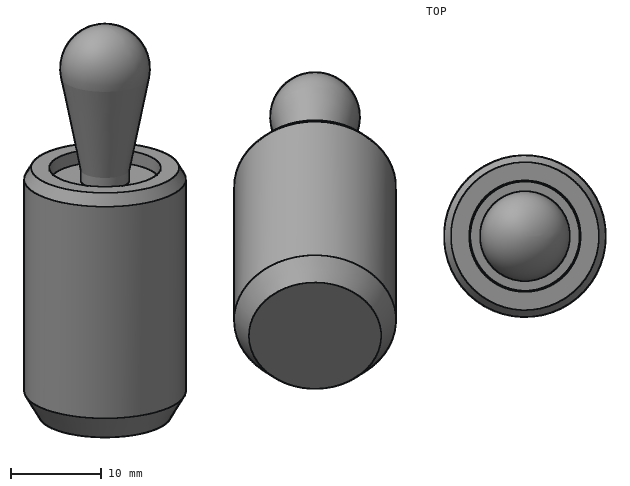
import cadquery as cq
import math

total_height = 45.9
housing_radius = 9.0
housing_height = 29.2
chamfer_slope = math.tan(math.radians(60))
top_chamfer_width = 0.8
bottom_chamfer_width = 1.65
bore_radius = 6.2

ball_radius = 5.0
neck_radius = 2.7
neck_height = 1.3
base_clearance = 0.15
base_radius = bore_radius - base_clearance
base_thickness = 3.0
base_recess = 1.5
ball_center_z = total_height - ball_radius
base_top_z = housing_height - base_recess
base_bottom_z = base_top_z - base_thickness
neck_top_z = base_top_z + neck_height


def make_housing():
    """Chamfered cylinder with a blind bore whose floor carries the pin's base."""
    side_bottom_z = bottom_chamfer_width * chamfer_slope
    side_top_z = housing_height - top_chamfer_width * chamfer_slope
    profile = [
        (0, 0),
        (housing_radius - bottom_chamfer_width, 0),
        (housing_radius, side_bottom_z),
        (housing_radius, side_top_z),
        (housing_radius - top_chamfer_width, housing_height),
        (bore_radius, housing_height),
        (bore_radius, base_bottom_z),
        (0, base_bottom_z),
    ]
    return cq.Workplane("XZ").polyline(profile).close().revolve(360, (0, 0, 0), (0, 1, 0))


def make_pin():
    """Round base, straight neck, cone tangent to the ball, and a ball end."""
    drop = ball_center_z - neck_top_z
    distance = math.hypot(neck_radius, drop)
    tangent_angle = math.acos(ball_radius / distance) - math.atan2(drop, neck_radius)
    middle_angle = (tangent_angle + math.pi / 2) / 2

    def ball_point(angle):
        return (ball_radius * math.cos(angle), ball_center_z + ball_radius * math.sin(angle))

    return (
        cq.Workplane("XZ")
        .moveTo(0, base_bottom_z)
        .lineTo(base_radius, base_bottom_z)
        .lineTo(base_radius, base_top_z)
        .lineTo(neck_radius, base_top_z)
        .lineTo(neck_radius, neck_top_z)
        .lineTo(*ball_point(tangent_angle))
        .threePointArc(ball_point(middle_angle), (0, total_height))
        .close()
        .revolve(360, (0, 0, 0), (0, 1, 0))
    )


housing = make_housing()
pin = make_pin()
result = cq.Compound.makeCompound([housing.val(), pin.val()])